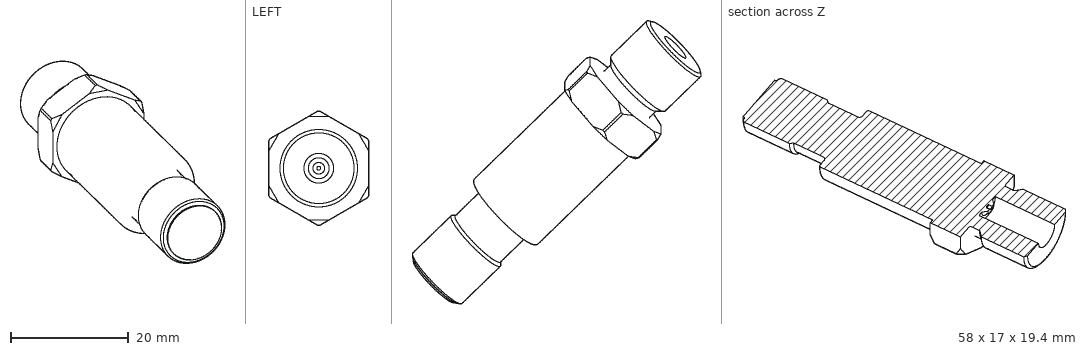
import cadquery as cq

PORT_THREAD_END = 8.95
HEX_START = 11.95
HEX_END = 18.1
BODY_END = 41.0
PLUG_START = 47.95
PLUG_CHAMFER_END = 57.55
PLUG_RIM_START = 57.7
LENGTH = 58.0

PORT_DIA = 13.15
PORT_FACE_DIA = 12.0
NECK_DIA = 11.0
BODY_DIA = 15.5
PLUG_DIA = 12.0
PLUG_RIM_DIA = 10.05

PORT_LEAD_IN = 0.4
PORT_NECK_FILLET = 0.35
PLUG_NECK_FILLET = 0.5
BODY_END_FILLET = 0.4
PLUG_BACK_CHAMFER = 0.5
PLUG_FRONT_CHAMFER = 0.35

HEX_ACROSS_FLATS = 17.0
HEX_ACROSS_CORNERS = 19.4
HEX_CORNER_CHAMFER = 0.85
HALF_SIDE_TURN = 360 / 6 / 2

BORE_DIA = 5.05
BORE_DEPTH = HEX_START
NOZZLE_BASE_DIA = 3.55
NOZZLE_KNEE_DIA = 3.1
NOZZLE_TIP_DIA = 2.0
NOZZLE_FOOT_HEIGHT = 0.2
NOZZLE_HEIGHT = NOZZLE_FOOT_HEIGHT + (NOZZLE_KNEE_DIA - NOZZLE_TIP_DIA) / 2
ORIFICE_DIA = 0.65
ORIFICE_DEPTH = NOZZLE_HEIGHT


def turned_body():
    """Revolved outer profile without the hexagon, as one solid of revolution about X."""
    port_r = PORT_DIA / 2
    neck_r = NECK_DIA / 2
    body_r = BODY_DIA / 2
    plug_r = PLUG_DIA / 2
    rim_r = PLUG_RIM_DIA / 2
    profile = (
        cq.Workplane("XY")
        .moveTo(0, 0)
        .lineTo(0, PORT_FACE_DIA / 2)
        .lineTo(PORT_LEAD_IN, port_r)
        .lineTo(PORT_THREAD_END, port_r)
        .lineTo(PORT_THREAD_END + port_r - neck_r, neck_r)
        .lineTo(HEX_START - PORT_NECK_FILLET, neck_r)
        .radiusArc((HEX_START, neck_r + PORT_NECK_FILLET), -PORT_NECK_FILLET)
        .lineTo(HEX_START, body_r)
        .lineTo(BODY_END - BODY_END_FILLET, body_r)
        .radiusArc((BODY_END, body_r - BODY_END_FILLET), BODY_END_FILLET)
        .lineTo(BODY_END, neck_r + PLUG_NECK_FILLET)
        .radiusArc((BODY_END + PLUG_NECK_FILLET, neck_r), -PLUG_NECK_FILLET)
        .lineTo(PLUG_START - PLUG_BACK_CHAMFER, neck_r)
        .lineTo(PLUG_START, plug_r)
        .lineTo(PLUG_CHAMFER_END - PLUG_FRONT_CHAMFER, plug_r)
        .lineTo(PLUG_CHAMFER_END, plug_r - PLUG_FRONT_CHAMFER)
        .lineTo(PLUG_RIM_START, rim_r)
        .lineTo(LENGTH, rim_r)
        .lineTo(LENGTH, 0)
        .close()
    )
    return profile.revolve(360, (0, 0, 0), (1, 0, 0))


def hex_prism(across_flats):
    """Hexagonal bar along X over the wrench section, with corners pointing to +Z and -Z."""
    return (
        cq.Workplane("YZ", origin=(HEX_START, 0, 0))
        .polygon(6, across_flats, circumscribed=True)
        .extrude(HEX_END - HEX_START)
    )


def wrench_hexagon():
    """Hexagon whose corners are blunted and bevelled by a second hexagon turned half a side."""
    flats = hex_prism(HEX_ACROSS_FLATS)
    blunting = hex_prism(HEX_ACROSS_CORNERS).faces("<X or >X").chamfer(HEX_CORNER_CHAMFER)
    return flats.intersect(blunting.rotate((0, 0, 0), (1, 0, 0), HALF_SIDE_TURN))


def port_bore():
    """Bore to cut, leaving a stepped-cone nozzle with a central orifice on its floor."""
    tip_x = BORE_DEPTH - NOZZLE_HEIGHT
    profile = (
        cq.Workplane("XY")
        .moveTo(0, 0)
        .lineTo(0, BORE_DIA / 2)
        .lineTo(BORE_DEPTH, BORE_DIA / 2)
        .lineTo(BORE_DEPTH, NOZZLE_BASE_DIA / 2)
        .lineTo(BORE_DEPTH - NOZZLE_FOOT_HEIGHT, NOZZLE_KNEE_DIA / 2)
        .lineTo(tip_x, NOZZLE_TIP_DIA / 2)
        .lineTo(tip_x, ORIFICE_DIA / 2)
        .lineTo(tip_x + ORIFICE_DEPTH, ORIFICE_DIA / 2)
        .lineTo(tip_x + ORIFICE_DEPTH, 0)
        .close()
    )
    return profile.revolve(360, (0, 0, 0), (1, 0, 0))


result = turned_body().union(wrench_hexagon()).cut(port_bore())